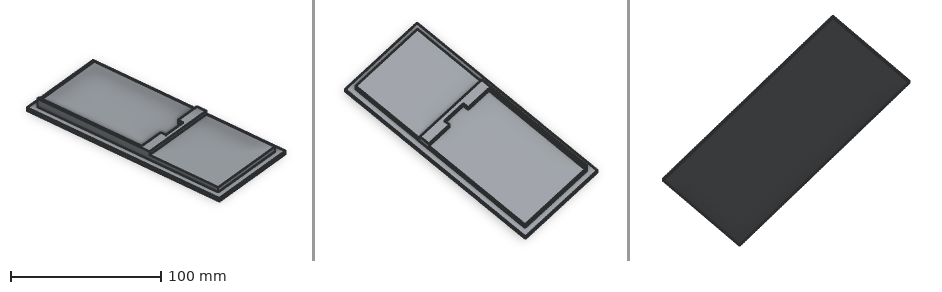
import cadquery as cq

plate_length = 165.0
plate_width = 70.0
plate_thickness = 2.5
plate_margin = 5.0

total_height = 9.2
low_top = 6.5
block_length = plate_length - 2 * plate_margin
block_width = plate_width - 2 * plate_margin
block_left = -block_length / 2
block_front = -block_width / 2
block_back = block_width / 2

bar_offset = 88.1
bar_width = 8.1
bar_left = block_left + bar_offset
bar_right = bar_left + bar_width
side_wall = 1.6

notch_depth = 4.5
notch_width = 18.2
notch_center_y = 0.8


def box_between(x_range, y_range, z_range):
    """Axis-aligned box spanning the three given (low, high) ranges."""
    sizes = [high - low for low, high in (x_range, y_range, z_range)]
    corner = (x_range[0], y_range[0], z_range[0])
    return cq.Workplane("XY").box(*sizes, centered=False).translate(corner)


plate = cq.Workplane("XY").box(
    plate_length, plate_width, plate_thickness, centered=(True, True, False)
)
block = cq.Workplane("XY").box(
    block_length, block_width, low_top, centered=(True, True, False)
)

upper_z = (low_top, total_height)
wall = box_between(
    (block_left, bar_right), (block_front, block_front + side_wall), upper_z
)
bar = box_between((bar_left, bar_right), (block_front, block_back), upper_z)
notch = box_between(
    (bar_left, bar_left + notch_depth),
    (notch_center_y - notch_width / 2, notch_center_y + notch_width / 2),
    upper_z,
)

result = plate.union(block).union(wall).union(bar).cut(notch)